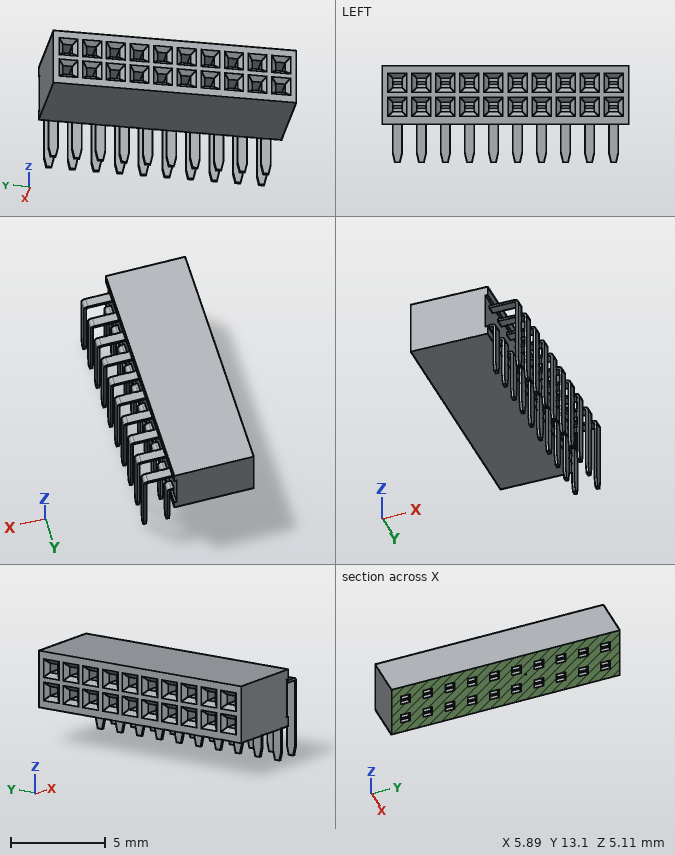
import cadquery as cq


housing_depth = 4.37
housing_length = 13.05
housing_height = 3.1
recess_depth = 0.13
recess_top_lip = 0.55
recess_bottom_lip = 0.51

contacts_per_row = 10
end_margin = 0.81
pitch = (housing_length - 2 * end_margin) / (contacts_per_row - 1)
upper_row_z = 2.19
lower_row_z = upper_row_z - pitch

socket_mouth = 1.0
socket_bore = 0.51
funnel_depth = 0.25
bore_depth = 2.61

pin_width = 0.51
pin_thickness = 0.15
bend_outer_radius = 0.22
bend_inner_radius = bend_outer_radius - pin_thickness
tip_width = 0.27
tip_length = 0.51
pin_bottom_z = -2.01
upper_pin_reach = 5.89
lower_pin_reach = upper_pin_reach - pitch
contact_width = 0.45
contact_length = 0.65
root_overlap = 0.13

contact_ys = [(i - (contacts_per_row - 1) / 2) * pitch for i in range(contacts_per_row)]
rear_face_x = housing_depth - recess_depth


def make_housing():
    """Block with a shallow full-length recess in its rear face."""
    block = cq.Workplane("XY").box(
        housing_depth, housing_length, housing_height, centered=(False, True, False)
    )
    recess_height = housing_height - recess_top_lip - recess_bottom_lip
    recess = (
        cq.Workplane("XY")
        .box(recess_depth, housing_length, recess_height, centered=(False, True, False))
        .translate((rear_face_x, 0, recess_bottom_lip))
    )
    return block.cut(recess)


def make_socket():
    """Cutter for one socket: a square funnel leading into a blind square bore."""
    funnel = (
        cq.Workplane("YZ")
        .rect(socket_mouth, socket_mouth)
        .workplane(offset=funnel_depth)
        .rect(socket_bore, socket_bore)
        .loft(ruled=True)
    )
    bore = (
        cq.Workplane("YZ", origin=(funnel_depth, 0, 0))
        .rect(socket_bore, socket_bore)
        .extrude(bore_depth - funnel_depth)
    )
    return funnel.union(bore)


def make_contact():
    """Flat blade standing on the socket floor, pointing toward the mouth."""
    return (
        cq.Workplane("YZ", origin=(bore_depth - contact_length, 0, 0))
        .rect(contact_width, pin_thickness)
        .extrude(contact_length + root_overlap)
    )


def make_pin(row_z, reach):
    """Bent flat pin from the housing's rear face to its narrowed tip."""
    top_z = row_z + pin_thickness / 2
    root_x = rear_face_x - root_overlap
    strip = (
        cq.Workplane("XZ")
        .moveTo(root_x, top_z)
        .lineTo(reach, top_z)
        .lineTo(reach, pin_bottom_z)
        .lineTo(reach - pin_thickness, pin_bottom_z)
        .lineTo(reach - pin_thickness, top_z - pin_thickness)
        .lineTo(root_x, top_z - pin_thickness)
        .close()
        .extrude(pin_width / 2, both=True)
    )
    outer_corner = cq.selectors.NearestToPointSelector((reach, 0, top_z))
    strip = strip.edges("|Y").edges(outer_corner).fillet(bend_outer_radius)
    inner_corner = cq.selectors.NearestToPointSelector(
        (reach - pin_thickness, 0, top_z - pin_thickness)
    )
    strip = strip.edges("|Y").edges(inner_corner).fillet(bend_inner_radius)

    taper_z = pin_bottom_z + tip_length
    face_outline = (
        cq.Workplane("YZ")
        .moveTo(-pin_width / 2, top_z)
        .lineTo(-pin_width / 2, taper_z)
        .lineTo(-tip_width / 2, pin_bottom_z)
        .lineTo(tip_width / 2, pin_bottom_z)
        .lineTo(pin_width / 2, taper_z)
        .lineTo(pin_width / 2, top_z)
        .close()
        .extrude(reach)
    )
    return strip.intersect(face_outline)


def repeat_along_row(shape, z=0):
    """Copies of a shape at every contact position of one row."""
    row = cq.Workplane("XY")
    for y in contact_ys:
        row = row.add(shape.translate((0, y, z)))
    return row.combine()


result = make_housing()
for row_z, reach in ((upper_row_z, upper_pin_reach), (lower_row_z, lower_pin_reach)):
    result = (
        result.cut(repeat_along_row(make_socket(), row_z))
        .union(repeat_along_row(make_contact(), row_z))
        .union(repeat_along_row(make_pin(row_z, reach)))
    )